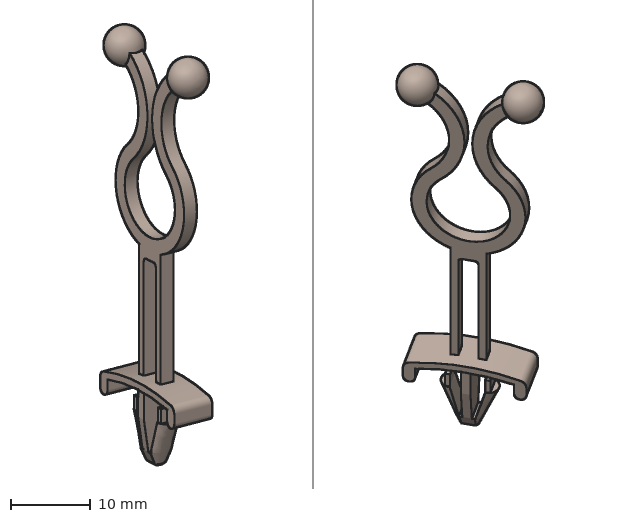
import cadquery as cq
import math

overall_height = 56.8
overall_length = 19.0

arm_thickness = 2.0
arm_width = 2.0
ball_radius = 2.65
ring_inner_radius = 5.4
ring_height = 36.05
neck_height = 46.8
neck_gap = 1.0

stem_width = 4.65
slot_width = 2.6
slot_top = 27.5
slot_corner_radius = 0.5

plate_length = 16.0
plate_depth = 5.9
plate_top = 11.6
plate_thickness = 1.0
plate_bow_radius = 30.0
plate_corner_radius = 1.0
lip_width = 1.6
lip_bottom = 7.6

blade_thickness = 1.25
blade_half_depth = 2.35
barb_top = 6.5
nose_top = 2.05
nose_radius = 1.95
nose_half_depth = 1.67
tip_edge_height = 0.3
tip_edge_radius = 1.25
tip_edge_half_depth = 0.86
tip_radius = 0.85
tip_half_depth = 0.47
barb_root_inner = 1.06
barb_top_inner = 2.28
barb_top_radius = 1.5
fin_thickness = 0.65
fin_depth = 2.7
fin_top = 8.5

ring_mid_radius = ring_inner_radius + arm_width / 2
ball_x = overall_length / 2 - ball_radius
ball_height = overall_height - ball_radius
neck_x = (neck_gap + arm_width) / 2
neck_rise = neck_height - ring_height
neck_radius = (neck_x**2 + neck_rise**2 - ring_mid_radius**2) / (2 * (ring_mid_radius - neck_x))
neck_centre = (neck_x + neck_radius, neck_height)
ring_centre = (0, ring_height)


def polar(centre, radius, angle):
    """Point on a circle in the XZ plane, with the angle in radians."""
    return (centre[0] + radius * math.cos(angle), centre[1] + radius * math.sin(angle))


def opposite(point):
    """The same point on the other side of the YZ plane."""
    return (-point[0], point[1])


def mirrored_pair(solid):
    """The +X solid together with its mirror image."""
    return solid.union(solid.mirror("YZ"))


def make_arms():
    """Ring, both necks and both balls; the band is one closed outline."""
    half = arm_width / 2
    ring_outer_radius = ring_mid_radius + half
    neck_near_radius = neck_radius - half
    neck_far_radius = neck_radius + half
    ring_bottom = -math.pi / 2
    join = math.atan2(neck_rise, neck_centre[0])
    neck_start = math.pi + join
    neck_end = math.atan2(ball_height - neck_height, ball_x - neck_centre[0])
    neck_middle = (neck_start + neck_end) / 2

    inner_join = polar(ring_centre, ring_inner_radius, join)
    inner_middle = polar(neck_centre, neck_far_radius, neck_middle)
    inner_end = polar(neck_centre, neck_far_radius, neck_end)
    outer_end = polar(neck_centre, neck_near_radius, neck_end)
    outer_middle = polar(neck_centre, neck_near_radius, neck_middle)
    outer_join = polar(ring_centre, ring_outer_radius, join)
    arms = (
        cq.Workplane("XZ")
        .moveTo(*inner_end)
        .lineTo(*outer_end)
        .threePointArc(outer_middle, outer_join)
        .threePointArc(polar(ring_centre, ring_outer_radius, ring_bottom), opposite(outer_join))
        .threePointArc(opposite(outer_middle), opposite(outer_end))
        .lineTo(*opposite(inner_end))
        .threePointArc(opposite(inner_middle), opposite(inner_join))
        .threePointArc(polar(ring_centre, ring_inner_radius, ring_bottom), inner_join)
        .threePointArc(inner_middle, inner_end)
        .close()
        .extrude(arm_thickness / 2, both=True)
    )
    for x in (-ball_x, ball_x):
        arms = arms.union(cq.Workplane("XY").sphere(ball_radius).translate((x, 0, ball_height)))
    return arms


def make_stem():
    bottom = plate_top - plate_thickness / 2
    top = ring_height - ring_mid_radius
    stem = cq.Workplane("XY").box(stem_width, arm_thickness, top - bottom, centered=(True, True, False))
    slot = (
        cq.Workplane("XY")
        .box(slot_width, arm_thickness, slot_top - bottom, centered=(True, True, False))
        .edges("|Y and >Z")
        .fillet(slot_corner_radius)
    )
    return stem.cut(slot).translate((0, 0, bottom))


def make_base_plate():
    half_length = plate_length / 2
    lip_inner = half_length - lip_width
    lip_radius = lip_width / 2
    bow_centre = plate_top - plate_bow_radius
    under_radius = plate_bow_radius - plate_thickness
    end_top = bow_centre + math.sqrt(plate_bow_radius**2 - half_length**2)
    lip_root = bow_centre + math.sqrt(under_radius**2 - lip_inner**2)
    lip_round_start = lip_bottom + lip_radius
    lip_middle = half_length - lip_radius
    return (
        cq.Workplane("XZ")
        .moveTo(-half_length, end_top)
        .threePointArc((0, plate_top), (half_length, end_top))
        .lineTo(half_length, lip_round_start)
        .threePointArc((lip_middle, lip_bottom), (lip_inner, lip_round_start))
        .lineTo(lip_inner, lip_root)
        .threePointArc((0, plate_top - plate_thickness), (-lip_inner, lip_root))
        .lineTo(-lip_inner, lip_round_start)
        .threePointArc((-lip_middle, lip_bottom), (-half_length, lip_round_start))
        .close()
        .extrude(plate_depth / 2, both=True)
        .edges(cq.selectors.NearestToPointSelector((-half_length, 0, end_top)))
        .fillet(plate_corner_radius)
        .edges(cq.selectors.NearestToPointSelector((half_length, 0, end_top)))
        .fillet(plate_corner_radius)
    )


def anchor_side_profile(thickness):
    """Side outline of the blade and nose, extruded symmetrically along X."""
    half_outline = [
        (tip_half_depth, 0),
        (tip_edge_half_depth, tip_edge_height),
        (nose_half_depth, nose_top),
        (blade_half_depth, barb_top),
        (blade_half_depth, plate_top - plate_thickness / 2),
    ]
    other_half = [(-y, z) for y, z in reversed(half_outline)]
    return (
        cq.Workplane("YZ")
        .polyline(half_outline + other_half)
        .close()
        .extrude(thickness / 2, both=True)
    )


def make_nose():
    cone = (
        cq.Workplane("XZ")
        .polyline([
            (0, 0),
            (tip_radius, 0),
            (tip_edge_radius, tip_edge_height),
            (nose_radius, nose_top),
            (0, nose_top),
        ])
        .close()
        .revolve(360, (0, 0), (0, 1))
    )
    return cone.intersect(anchor_side_profile(2 * nose_radius))


def make_barb():
    root_half_depth = math.sqrt(nose_radius**2 - barb_root_inner**2)
    barb = (
        cq.Workplane("XY", origin=(0, 0, nose_top))
        .moveTo(barb_root_inner, -root_half_depth)
        .threePointArc((nose_radius, 0), (barb_root_inner, root_half_depth))
        .close()
        .workplane(offset=barb_top - nose_top)
        .moveTo(barb_top_inner, -barb_top_radius)
        .threePointArc((barb_top_inner + barb_top_radius, 0), (barb_top_inner, barb_top_radius))
        .close()
        .loft(ruled=True)
    )
    fin = (
        cq.Workplane("XY")
        .box(fin_thickness, fin_depth, fin_top - barb_top, centered=(False, True, False))
        .translate((barb_top_inner, 0, barb_top))
    )
    return barb.union(fin)


result = (
    make_base_plate()
    .union(make_stem())
    .union(make_arms())
    .union(anchor_side_profile(blade_thickness))
    .union(make_nose())
    .union(mirrored_pair(make_barb()))
)